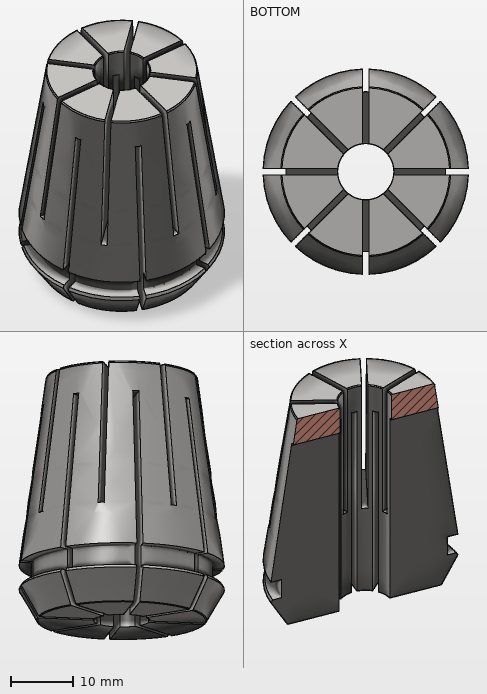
import cadquery as cq
import math

length = 40.0
max_radius = 16.5
bore_radius = 9.0 / 2

taper_angle = 8.0
taper_base_z = 9.05
nose_chamfer_height = 0.3
nose_chamfer_width = 0.15
bore_chamfer = 0.15

groove_radius = 14.6
groove_floor_z = 5.5
groove_fillet = 0.1
rim_z = 5.05
rim_bevel_width = 0.3
foot_chamfer = 0.1
clamping_angle = 30.0

slots_per_end = 8
slot_width = 1.0
slot_pitch = 360.0 / slots_per_end
lower_slot_top_z = 35.0
upper_slot_floor_z = 16.0


def taper_radius(z):
    """Outer radius of the main taper at height z."""
    return max_radius - (z - taper_base_z) * math.tan(math.radians(taper_angle))


def make_body():
    """Revolve the half section, bore included, about the Z axis."""
    nose_base_z = length - nose_chamfer_height
    nose_radius = taper_radius(nose_base_z)
    foot_radius = max_radius - rim_z * math.tan(math.radians(clamping_angle))
    floor_corner_z = groove_floor_z + groove_fillet
    roof_corner_z = taper_base_z - groove_fillet
    corner_radius = groove_radius + groove_fillet
    section = (
        cq.Workplane("XZ")
        .moveTo(bore_radius, 0)
        .lineTo(foot_radius - foot_chamfer, 0)
        .lineTo(foot_radius + foot_chamfer * math.tan(math.radians(clamping_angle)), foot_chamfer)
        .lineTo(max_radius, rim_z)
        .lineTo(max_radius - rim_bevel_width, groove_floor_z)
        .lineTo(corner_radius, groove_floor_z)
        .radiusArc((groove_radius, floor_corner_z), groove_fillet)
        .lineTo(groove_radius, roof_corner_z)
        .radiusArc((corner_radius, taper_base_z), groove_fillet)
        .lineTo(max_radius, taper_base_z)
        .lineTo(nose_radius, nose_base_z)
        .lineTo(nose_radius - nose_chamfer_width, length)
        .lineTo(bore_radius + bore_chamfer, length)
        .lineTo(bore_radius, length - bore_chamfer)
        .close()
    )
    return section.revolve(360, (0, 0), (0, 1))


def make_slots(bottom_z, top_z, first_angle):
    """Ring of radial slot cutters, reaching from the axis past the outer surface."""
    slot = cq.Workplane("XY", origin=(0, 0, bottom_z)).box(
        max_radius + slot_width, slot_width, top_z - bottom_z, centered=(False, True, False)
    )
    cutters = cq.Workplane("XY")
    for index in range(slots_per_end):
        angle = first_angle + index * slot_pitch
        cutters = cutters.add(slot.rotate((0, 0, 0), (0, 0, 1), angle))
    return cutters.combine()


lower_slots = make_slots(0, lower_slot_top_z, 0)
upper_slots = make_slots(upper_slot_floor_z, length, slot_pitch / 2)

result = make_body().cut(lower_slots).cut(upper_slots)